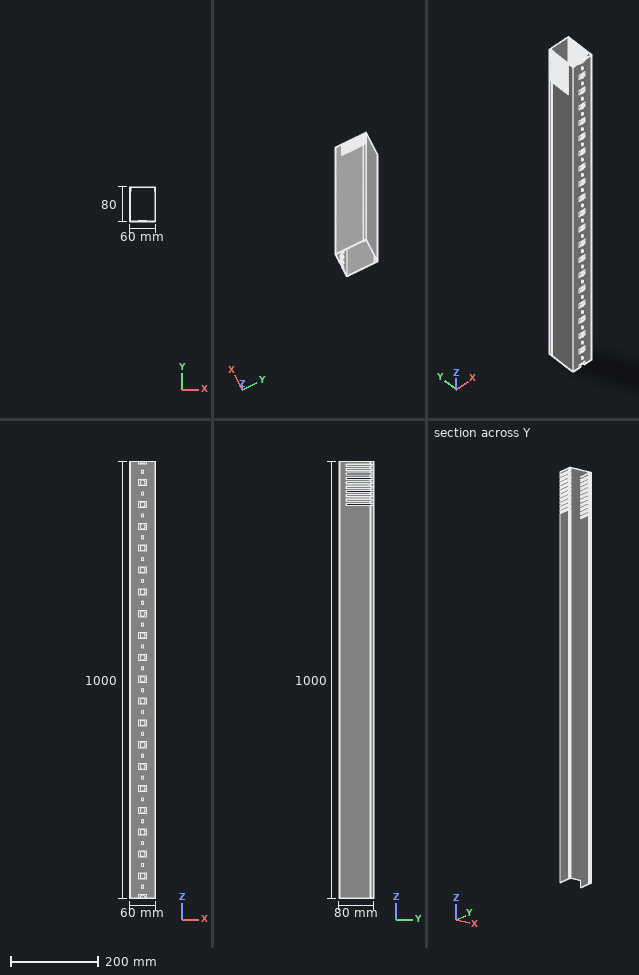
import cadquery as cq


duct_width = 60.0
duct_depth = 80.0
duct_length = 1000.0

back_y = -duct_depth / 2
front_y = duct_depth / 2
top_z = duct_length / 2
half_width = duct_width / 2

lid_sheet = 1.2
lid_skirt = 7.0
skirt_end_y = front_y - lid_skirt
lid_underside_y = front_y - lid_sheet

base_wall = 2.0
corner_radius = 1.8
back_inner_y = back_y + base_wall
half_neck = half_width - lid_sheet

wire_slot_count = 10
wire_slot_pitch = 10.0
wire_slot_width = 4.0
first_wire_slot = 8.8
wire_slot_floor_y = -23.5

hole_pitch = 50.0
hole_shift = 1.5
mount_length = 12.5
mount_width = 10.5
small_length = 7.5
small_width = 4.5

pad_width = 18.0
pad_length = 14.0
pad_height = 1.5
pad_top_y = back_inner_y + pad_height

hole_steps = round(duct_length / hole_pitch)
mount_points = [(0, top_z + hole_shift - i * hole_pitch) for i in range(hole_steps + 1)]
small_points = [(0, z - hole_pitch / 2) for _, z in mount_points[:-1]]


def mirrored_prism(right_half):
    """Extrude an outline along the duct, completed by its mirror image across X = 0."""
    left_half = [(-x, y) for x, y in reversed(right_half)]
    return (
        cq.Workplane("XY", origin=(0, 0, -top_z))
        .polyline(right_half + left_half)
        .close()
        .extrude(duct_length)
    )


def plane_at(y):
    """Workplane whose extrusions run from the given Y toward the back."""
    return cq.Workplane("XZ", origin=(0, y, 0))


def base_channel():
    channel = mirrored_prism([
        (half_width, back_y),
        (half_width, skirt_end_y),
        (half_neck, skirt_end_y),
        (half_neck, lid_underside_y),
        (half_neck - base_wall, lid_underside_y),
        (half_neck - base_wall, skirt_end_y - base_wall),
        (half_width - base_wall, skirt_end_y - base_wall),
        (half_width - base_wall, back_inner_y),
    ])
    return channel.edges("|Z and <Y").fillet(corner_radius)


def mounting_pads():
    """Pads at the ends of the duct are trimmed flush with it."""
    pads = plane_at(pad_top_y).pushPoints(mount_points).rect(pad_width, pad_length).extrude(pad_height)
    return pads.intersect(cq.Workplane("XY").box(duct_width, duct_depth, duct_length))


def wire_slots():
    """Slots open at the upper edge of the side walls, each crossing both walls."""
    centres = [(0, top_z - first_wire_slot - i * wire_slot_pitch) for i in range(wire_slot_count)]
    return (
        plane_at(lid_underside_y)
        .pushPoints(centres)
        .rect(duct_width, wire_slot_width)
        .extrude(lid_underside_y - wire_slot_floor_y)
    )


def back_holes(points, length, width):
    """Obround holes, long along Z, through the back wall and its pads."""
    return plane_at(pad_top_y).pushPoints(points).slot2D(length, width, 90).extrude(pad_top_y - back_y)


def make_base():
    return (
        base_channel()
        .union(mounting_pads())
        .cut(wire_slots())
        .cut(back_holes(mount_points, mount_length, mount_width))
        .cut(back_holes(small_points, small_length, small_width))
    )


def make_lid():
    return mirrored_prism([
        (half_width, front_y),
        (half_width, skirt_end_y),
        (half_neck, skirt_end_y),
        (half_neck, lid_underside_y),
    ])


base = make_base()
lid = make_lid()
result = cq.Compound.makeCompound([base.val(), lid.val()])